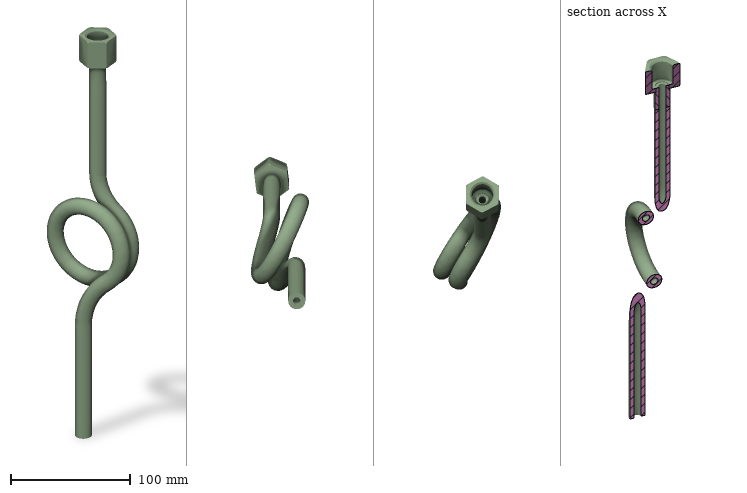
import cadquery as cq
import math

total_height = 366.0
top_z = 190.7
bottom_z = top_z - total_height

pipe_diameter = 14.3
bore_diameter = 6.2
coil_outer_diameter = 84.0
coil_pitch = 15.0
upper_bend_z = 61.5
lower_bend_z = -72.5
coil_radius = (coil_outer_diameter - pipe_diameter) / 2
slope = coil_pitch / (2 * math.pi * coil_radius)
bend_samples = 6

nut_height = 24.5
nut_across_flats = 27.5
nut_floor = 4.5
nut_bore_diameter = 18.3
nut_mouth_chamfer = 1.5
nut_corner_radius_trim = 0.7
nut_corner_chamfer_height = 1.0
nut_bottom_z = top_z - nut_height
nut_floor_z = nut_bottom_z + nut_floor
nut_across_corners = nut_across_flats / math.cos(math.pi / 6)

stub_bottom_z = 147.5
spigot_diameter = 12.5
spigot_chamfer = 1.0


def bend_radius(end_z):
    """Radius of an arc tangent to both the coil circle and the straight pipe on X = 0."""
    return (end_z**2 - coil_radius**2) / (2 * coil_radius)


upper_radius = bend_radius(upper_bend_z)
lower_radius = bend_radius(lower_bend_z)
upper_angle = math.atan2(upper_bend_z, upper_radius)
lower_angle = math.atan2(-lower_bend_z, lower_radius)

coil_start_y = -slope * upper_radius * upper_angle / 2
coil_sweep = upper_angle + 2 * math.pi + lower_angle
coil_end_y = coil_start_y - slope * coil_radius * coil_sweep
lower_pipe_y = coil_end_y - slope * lower_radius * lower_angle / 2


def bend_point(radius, end_z, straight_y, y_direction, turn):
    """Point on a bend after turning away from its straight pipe by the given angle."""
    x = radius * (1 - math.cos(turn))
    z = end_z - math.copysign(radius * math.sin(turn), end_z)
    full_turn = math.atan2(abs(end_z), radius)
    y = straight_y + y_direction * slope * radius * turn**2 / (2 * full_turn)
    return cq.Vector(x, y, z)


def coil_tangent(angle):
    """Direction of travel down the coil at an angle measured from +X towards +Z."""
    return cq.Vector(math.sin(angle), -slope, -math.cos(angle))


def sweep_pipe(path, start, direction, is_helix=False):
    """Hollow round length of pipe swept along a path with the given start and direction."""
    section = cq.Workplane(cq.Plane(start, normal=direction))
    section = section.circle(pipe_diameter / 2).circle(bore_diameter / 2)
    return section.sweep(path, isFrenet=is_helix).val()


def make_straight(start, end):
    path = cq.Wire.assembleEdges([cq.Edge.makeLine(start, end)])
    return sweep_pipe(path, start, end - start)


def make_bend(points, start_direction, end_direction):
    edge = cq.Edge.makeSpline(points, tangents=[start_direction, end_direction])
    return sweep_pipe(cq.Wire.assembleEdges([edge]), points[0], start_direction)


def make_coil():
    """Left-handed helix made about Z, then laid over so that it advances towards -Y."""
    height = coil_pitch * coil_sweep / (2 * math.pi)
    path = cq.Wire.makeHelix(coil_pitch, height, coil_radius, lefthand=True)
    start = cq.Vector(coil_radius, 0, 0)
    coil = sweep_pipe(path, start, cq.Vector(0, -1, slope), is_helix=True)
    origin = cq.Vector(0, 0, 0)
    coil = coil.rotate(origin, cq.Vector(0, 0, 1), math.degrees(upper_angle))
    coil = coil.rotate(origin, cq.Vector(1, 0, 0), 90)
    return coil.translate(cq.Vector(0, coil_start_y, 0))


def make_pipe():
    down = cq.Vector(0, 0, -1)
    upper_points = [
        bend_point(upper_radius, upper_bend_z, 0, -1, upper_angle * i / bend_samples)
        for i in range(bend_samples + 1)
    ]
    lower_points = [
        bend_point(lower_radius, lower_bend_z, lower_pipe_y, 1, lower_angle * i / bend_samples)
        for i in range(bend_samples, -1, -1)
    ]
    upper_straight = make_straight(cq.Vector(0, 0, stub_bottom_z), upper_points[0])
    upper_bend = make_bend(upper_points, down, coil_tangent(upper_angle))
    lower_bend = make_bend(lower_points, coil_tangent(-lower_angle), down)
    lower_straight = make_straight(lower_points[-1], cq.Vector(0, lower_pipe_y, bottom_z))
    joined = upper_straight.fuse(upper_bend, make_coil(), lower_bend, lower_straight)
    return cq.Workplane(joined.Solids()[0])


def make_stub():
    """Sleeve ending in a narrower, chamfered spigot that fills the hole in the nut floor."""
    sleeve = (
        cq.Workplane("XY", origin=(0, 0, stub_bottom_z))
        .circle(pipe_diameter / 2)
        .extrude(nut_bottom_z - stub_bottom_z)
    )
    spigot = (
        sleeve.faces(">Z").workplane()
        .circle(spigot_diameter / 2)
        .extrude(nut_floor)
        .faces(">Z").edges().chamfer(spigot_chamfer)
    )
    return spigot.faces(">Z").workplane().hole(bore_diameter)


def make_nut():
    hexagon = (
        cq.Workplane("XY", origin=(0, 0, nut_bottom_z))
        .transformed(rotate=(0, 0, 90))
        .polygon(6, nut_across_corners)
        .extrude(nut_height)
    )
    corner_trim = (
        cq.Workplane("XY", origin=(0, 0, nut_bottom_z))
        .circle(nut_across_corners / 2)
        .extrude(nut_height)
        .faces("<Z or >Z").edges()
        .chamfer(nut_corner_chamfer_height, nut_corner_radius_trim)
    )
    bore = (
        cq.Workplane("XY", origin=(0, 0, nut_floor_z))
        .circle(nut_bore_diameter / 2)
        .extrude(top_z - nut_floor_z)
    )
    spigot_hole = (
        cq.Workplane("XY", origin=(0, 0, nut_bottom_z))
        .circle(spigot_diameter / 2)
        .extrude(nut_floor)
    )
    nut = hexagon.intersect(corner_trim).cut(bore).cut(spigot_hole)
    bore_mouth = nut.faces(">Z").edges(cq.selectors.RadiusNthSelector(0))
    return bore_mouth.chamfer(nut_mouth_chamfer)


pipe = make_pipe()
stub = make_stub()
nut = make_nut()

result = cq.Compound.makeCompound([pipe.val(), stub.val(), nut.val()])